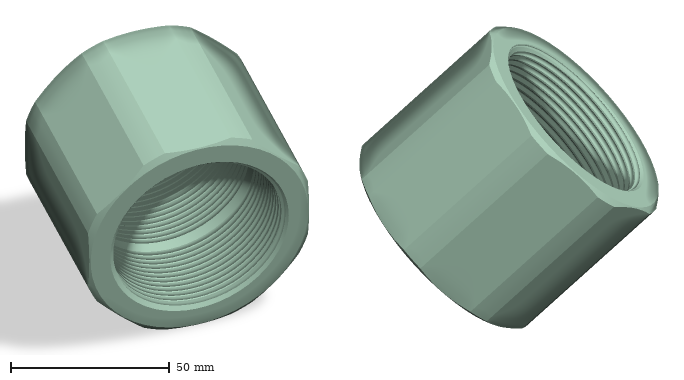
import cadquery as cq
import math

length = 60.4
across_flats = 74.0
corner_diameter = 77.25
face_diameter = 73.25
chamfer_length = 1.4

bore_diameter = 56.7
thread_diameter = 59.6
entry_diameter = 60.1
entry_length = 1.7
plain_band = 0.75
helix_length = 30.0
turns = 13
pitch = helix_length / turns
end_angle = 6
groove_mouth = 1.8
groove_root = 0.3
overlap = 0.2


def octagon_prism():
    """Octagonal bar with flats facing Y and Z."""
    circumdiameter = across_flats / math.cos(math.pi / 8)
    bar = cq.Workplane("YZ").polygon(8, circumdiameter).extrude(length / 2, both=True)
    return bar.rotate((0, 0, 0), (1, 0, 0), 180 / 8)


def turned_envelope():
    """Cylinder with chamfered ends that rounds and trims the octagon corners."""
    half = length / 2
    face_radius = face_diameter / 2
    corner_radius = corner_diameter / 2
    profile = [
        (-half, 0),
        (-half, face_radius),
        (-half + chamfer_length, corner_radius),
        (half - chamfer_length, corner_radius),
        (half, face_radius),
        (half, 0),
    ]
    return cq.Workplane("XY").polyline(profile).close().revolve(360, (0, 0, 0), (1, 0, 0))


def bore():
    """Through bore with a conical lead-in at both ends."""
    half = length / 2
    radius = bore_diameter / 2
    entry_radius = entry_diameter / 2
    straight_end = half - entry_length
    profile = [
        (-half, 0),
        (-half, entry_radius),
        (-straight_end, radius),
        (straight_end, radius),
        (half, entry_radius),
        (half, 0),
    ]
    return cq.Workplane("XY").polyline(profile).close().revolve(360, (0, 0, 0), (1, 0, 0))


def thread_cutter():
    """Helical groove from beyond the -X face to the middle gap."""
    radius = bore_diameter / 2
    depth = (thread_diameter - bore_diameter) / 2
    flank_slope = (groove_mouth - groove_root) / 2 / depth
    inner_half = groove_mouth / 2 + overlap * flank_slope
    outer_half = groove_root / 2
    helix = cq.Wire.makeHelix(pitch, helix_length, radius)
    section = [
        (radius - overlap, -inner_half),
        (radius + depth, -outer_half),
        (radius + depth, outer_half),
        (radius - overlap, inner_half),
    ]
    path = cq.Workplane(obj=helix)
    groove = cq.Workplane("XZ").polyline(section).close().sweep(path, isFrenet=True)
    along_x = groove.rotate((0, 0, 0), (0, 1, 0), 90)
    turned = along_x.rotate((0, 0, 0), (1, 0, 0), end_angle - 90)
    end_x = -(plain_band + groove_mouth) / 2
    return turned.translate((end_x - helix_length, 0, 0))


cutter = thread_cutter()
opposite_cutter = cutter.rotate((0, 0, 0), (0, 0, 1), 180)

result = octagon_prism().intersect(turned_envelope()).cut(bore())
for groove in (cutter, opposite_cutter):
    result = result.cut(groove)